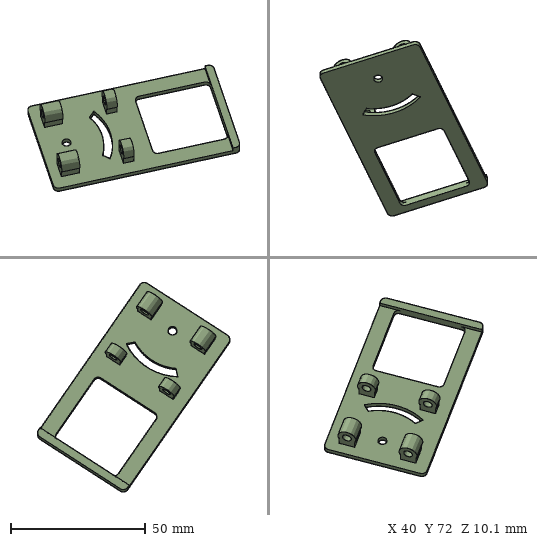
import cadquery as cq

plate_width = 40.0
plate_length = 72.0
plate_thickness = 1.95
corner_radius = 2.0

bar_depth = 3.0
bar_top = 3.5

window_width = 27.8
window_length = 28.95
window_corner_radius = 1.8

lug_spacing = 24.0
lug_radius = 3.5
lug_top = 10.1
lug_neck_width = 6.05
lug_bore_diameter = 3.4
rear_lug_front = -8.1
rear_lug_length = 4.0
front_lug_front = -32.05
front_lug_length = 7.0

pivot_y = -26.0
pivot_diameter = 3.25
slot_outer_half_width = 11.5
slot_outer_end_y = -12.3
slot_outer_crest_y = -9.0
slot_inner_half_width = 9.2
slot_inner_end_y = -14.6
slot_inner_crest_y = -12.25

rear_edge = plate_length / 2
bar_front = rear_edge - bar_depth
lug_axis_z = lug_top - lug_radius


def make_plate():
    """Plate with the rear bar; both share the rounded vertical corners."""
    blank = cq.Workplane("XY").box(plate_width, plate_length, bar_top, centered=(True, True, False))
    blank = blank.edges("|Z").fillet(corner_radius)
    step = (
        cq.Workplane("XY", origin=(0, bar_front - plate_length / 2, plate_thickness))
        .box(plate_width, plate_length, bar_top, centered=(True, True, False))
    )
    return blank.cut(step)


def make_window():
    """Cutter for the rectangular window with rounded corners."""
    return (
        cq.Workplane("XY", origin=(0, bar_front - window_length / 2, 0))
        .box(window_width, window_length, plate_thickness, centered=(True, True, False))
        .edges("|Z")
        .fillet(window_corner_radius)
    )


def make_slot():
    """Cutter for the curved slot with slanted straight ends."""
    return (
        cq.Workplane("XY")
        .moveTo(-slot_outer_half_width, slot_outer_end_y)
        .threePointArc((0, slot_outer_crest_y), (slot_outer_half_width, slot_outer_end_y))
        .lineTo(slot_inner_half_width, slot_inner_end_y)
        .threePointArc((0, slot_inner_crest_y), (-slot_inner_half_width, slot_inner_end_y))
        .close()
        .extrude(plate_thickness)
    )


def make_lug(x, front_y, length):
    """Round eye on a narrower neck, bored along Y."""
    face = cq.Workplane("XZ", origin=(x, front_y, 0))
    eye = face.center(0, lug_axis_z).circle(lug_radius).extrude(-length)
    neck_height = lug_axis_z - plate_thickness
    neck = (
        face.center(0, plate_thickness + neck_height / 2)
        .rect(lug_neck_width, neck_height)
        .extrude(-length)
    )
    bore = face.center(0, lug_axis_z).circle(lug_bore_diameter / 2).extrude(-length)
    return eye.union(neck).cut(bore)


pivot_hole = cq.Workplane("XY").center(0, pivot_y).circle(pivot_diameter / 2).extrude(plate_thickness)

result = make_plate().cut(make_window()).cut(make_slot()).cut(pivot_hole)
for side in (-1, 1):
    lug_x = side * lug_spacing / 2
    result = result.union(make_lug(lug_x, rear_lug_front, rear_lug_length))
    result = result.union(make_lug(lug_x, front_lug_front, front_lug_length))